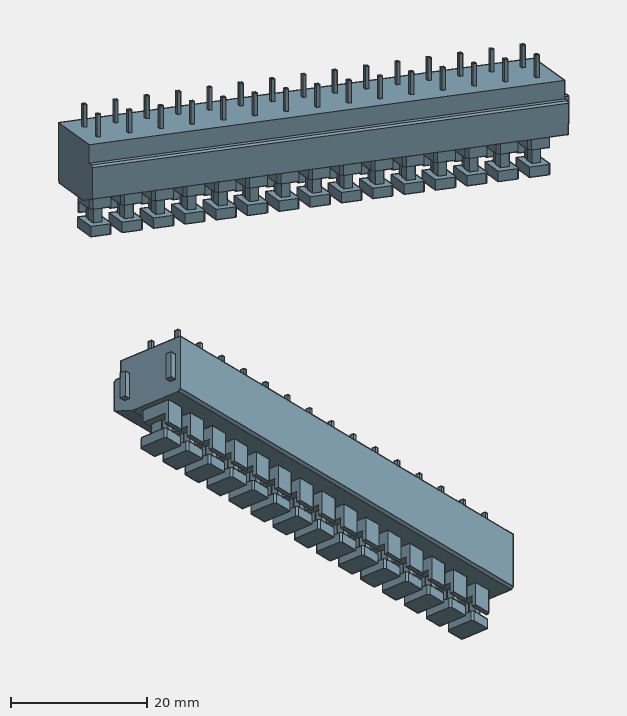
import cadquery as cq

overall_length = 77.0
peg_length = 1.0
housing_length = overall_length - peg_length
housing_height = 9.25
housing_width = 11.4
overall_width = 12.6
ledge_height = 6.4
ledge_corner = 0.3
slope_start_x = 9.2
slope_end_z = 1.2
lower_edge_chamfer = 0.4

peg_centers_x = (1.4, 10.2)
peg_width = 1.0
peg_bottom_z = 2.2
peg_height = 4.2

contact_count = 15
contact_pitch = 5.0
first_contact_y = 2.8

pin_centers_x = (3.15, 8.25)
pin_width_x = 0.7
pin_width_y = 0.55
pin_height = 3.5

guide_left_x = 3.0
guide_right_x = 7.85
guide_min_y = -1.1
guide_max_y = 2.2
guide_width_y = guide_max_y - guide_min_y
guide_offset_y = (guide_min_y + guide_max_y) / 2
guide_drop = 2.1
guide_left_chamfer = 0.3
guide_right_chamfer = 0.5
skirt_thickness = 0.7
skirt_drop = 3.8

button_left_x = 3.7
button_right_x = 8.6
button_width_y = 3.4
button_offset_y = 0.4
button_top_drop = 4.4
button_bottom_drop = 6.0
button_chamfer = 0.3
stem_left_x = 5.3
stem_right_x = 7.2
stem_width_y = 1.4
web_width_y = 1.1
web_top_x = 4.5
web_bottom_x = 4.1


def box(x_min, x_max, y_center, y_width, z_min, z_max):
    """Box centred on y_center, given by its X and Z limits."""
    return cq.Workplane("XY").box(
        x_max - x_min, y_width, z_max - z_min, centered=(False, True, False)
    ).translate((x_min, y_center, z_min))


def make_housing():
    profile = [
        (lower_edge_chamfer, 0),
        (slope_start_x, 0),
        (overall_width, slope_end_z),
        (overall_width, ledge_height - ledge_corner),
        (overall_width - ledge_corner, ledge_height),
        (housing_width, ledge_height),
        (housing_width, housing_height),
        (0, housing_height),
        (0, lower_edge_chamfer),
    ]
    return cq.Workplane("XZ").polyline(profile).close().extrude(-housing_length)


def make_peg(center_x):
    return box(
        center_x - peg_width / 2, center_x + peg_width / 2,
        housing_length + peg_length / 2, peg_length,
        peg_bottom_z, peg_bottom_z + peg_height,
    )


def make_pin(center_x):
    return box(
        center_x - pin_width_x / 2, center_x + pin_width_x / 2,
        0, pin_width_y,
        housing_height, housing_height + pin_height,
    )


def make_guide():
    block = box(guide_left_x, guide_right_x, guide_offset_y, guide_width_y, -guide_drop, 0)
    skirt = box(
        guide_left_x, guide_left_x + skirt_thickness,
        guide_offset_y, guide_width_y, -skirt_drop, 0,
    )
    guide = block.union(skirt)
    guide = guide.faces("<Y").edges("|Z and <X").chamfer(guide_left_chamfer)
    return guide.faces("<Y").edges("|Z and >X").chamfer(guide_right_chamfer)


def make_button():
    plate = box(
        button_left_x, button_right_x,
        button_offset_y, button_width_y, -button_bottom_drop, -button_top_drop,
    ).faces(">Y").edges("|Z").chamfer(button_chamfer)
    stem = box(
        stem_left_x, stem_right_x,
        button_offset_y, stem_width_y, -button_top_drop, -guide_drop,
    )
    web_profile = [
        (web_top_x, -guide_drop),
        (web_bottom_x, -button_top_drop),
        (stem_left_x, -button_top_drop),
        (stem_left_x, -guide_drop),
    ]
    web = (
        cq.Workplane("XZ").polyline(web_profile).close()
        .extrude(web_width_y / 2, both=True)
        .translate((0, button_offset_y, 0))
    )
    return plate.union(stem).union(web)


def make_contact():
    """One contact at Y = 0: its guide, its button and both solder pins."""
    parts = [make_guide(), make_button()]
    parts += [make_pin(center_x) for center_x in pin_centers_x]
    return parts


result = make_housing()
for center_x in peg_centers_x:
    result = result.union(make_peg(center_x))

contact_parts = make_contact()
for index in range(contact_count):
    contact_y = first_contact_y + index * contact_pitch
    for part in contact_parts:
        result = result.union(part.translate((0, contact_y, 0)))